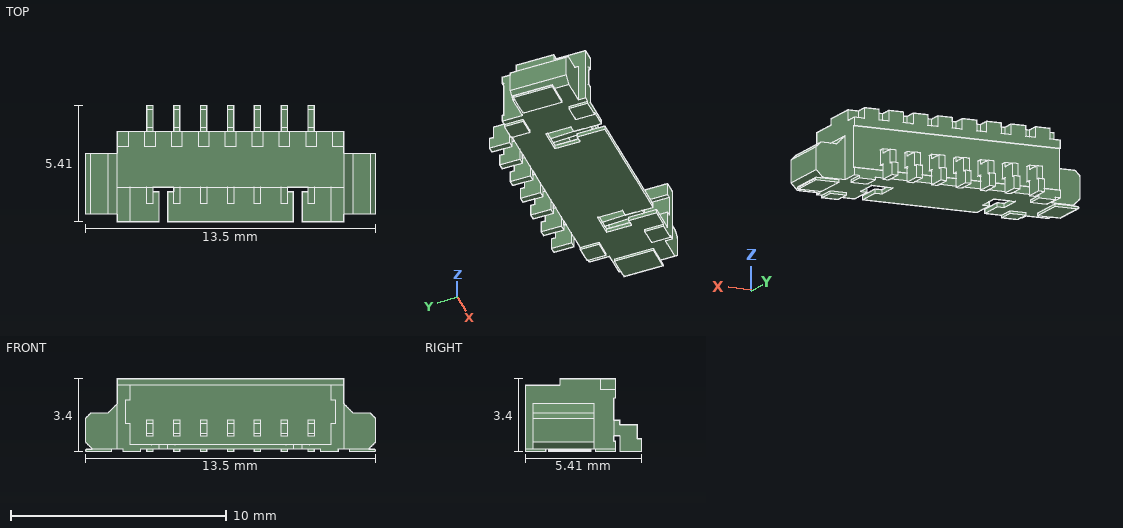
import cadquery as cq


pin_count = 7
pitch = 1.25
pin_width = 0.3
pin_top = 1.47
pin_bottom = 0.74
pin_tip_y = 0.85
pin_tip_top = 1.3
pin_tip_bottom = 0.85
pin_taper_start_y = 2.31
pin_shoulder_y = 4.39
pin_leg_top = 1.26
pin_heel_y = 5.21
pin_foot_top = 0.61
pin_end_y = 5.41
pin_positions = [(i - (pin_count - 1) / 2) * pitch for i in range(pin_count)]

standoff = 0.12
housing_width = 10.54
housing_depth = 4.2
housing_top = 3.4
wall_top = 3.1
roof_front_y = 1.6
floor_top = 0.33
cavity_width = 9.34
cavity_depth = 3.04

groove_span = 9.76
groove_bottom = 1.3
groove_top = 2.4

back_relief_depth = 0.08
back_relief_bottom = 0.49
back_relief_top = 2.49

notch_width = 0.5
notch_length = 0.7
notch_depth = 0.51
corner_notch_width = 0.53

slot_x = pin_positions[-1] - pitch / 2
slot_width = 0.4
slot_length = 1.4
slot_head_width = 1.1
slot_back_y = 2.66

foot_inner_x = 4.18
foot_outer_x = 5.01
foot_length = 0.95

ear_outer_x = 6.75
ear_top = 1.8
ear_front_y = 0.36
ear_back_y = 3.18
ear_top_chamfer = 0.25
ear_bottom_chamfer = 0.33
ear_ramp = 0.43

nail_inner_x = 5.53
nail_front_y = 1.08
nail_back_y = 3.04
nail_edge_chamfer = 0.05


def block(x_range, y_range, z_range):
    """Box between the given pairs of limits."""
    size = [high - low for low, high in (x_range, y_range, z_range)]
    corner = (x_range[0], y_range[0], z_range[0])
    return cq.Workplane("XY").box(*size, centered=False).translate(corner)


def centered_block(x_center, width, y_range, z_range):
    """Box of the given width about x_center."""
    return block((x_center - width / 2, x_center + width / 2), y_range, z_range)


def both_sides(right_half):
    """The given +X shape together with its mirror image on the -X side."""
    return [right_half, right_half.mirror("YZ")]


def make_pin(x_center):
    """Contact pin: tapered blade, stepped shoulder and solder foot."""
    profile = [
        (pin_tip_y, pin_tip_bottom),
        (pin_tip_y, pin_tip_top),
        (pin_taper_start_y, pin_top),
        (pin_shoulder_y, pin_top),
        (pin_shoulder_y, pin_leg_top),
        (pin_heel_y, pin_leg_top),
        (pin_heel_y, pin_foot_top),
        (pin_end_y, pin_foot_top),
        (pin_end_y, 0),
        (pin_shoulder_y, 0),
        (pin_shoulder_y, pin_bottom),
        (cavity_depth, pin_bottom),
    ]
    pin = cq.Workplane("YZ").polyline(profile).close().extrude(pin_width / 2, both=True)
    return pin.translate((x_center, 0, 0))


def make_shell():
    """Housing box with its set-back roof, front cavity and guide grooves."""
    shell = centered_block(0, housing_width, (0, housing_depth), (standoff, wall_top))
    roof = centered_block(0, housing_width, (roof_front_y, housing_depth), (wall_top, housing_top))
    cavity = centered_block(0, cavity_width, (0, cavity_depth), (floor_top, wall_top))
    grooves = centered_block(0, groove_span, (0, cavity_depth), (groove_bottom, groove_top))
    return shell.cut(cavity).union(roof).cut(grooves)


def cut_back(housing):
    """Relief across the back face and the notches along the rear top edge."""
    relief_y = (housing_depth - back_relief_depth, housing_depth)
    relief = centered_block(0, housing_width, relief_y, (back_relief_bottom, back_relief_top))
    housing = housing.cut(relief)

    notch_y = (housing_depth - notch_length, housing_depth)
    notch_z = (housing_top - notch_depth, housing_top)
    for x in pin_positions:
        housing = housing.cut(centered_block(x, notch_width, notch_y, notch_z))
    side_x = housing_width / 2
    for corner in both_sides(block((side_x - corner_notch_width, side_x), notch_y, notch_z)):
        housing = housing.cut(corner)
    return housing


def make_floor_slot():
    """T-shaped floor opening at the +X end."""
    floor_z = (standoff, floor_top)
    stem = centered_block(slot_x, slot_width, (0, slot_length), floor_z)
    head = centered_block(slot_x, slot_head_width, (slot_length, slot_back_y), floor_z)
    return stem.union(head)


def make_feet():
    """Front and rear standoff feet at the +X end."""
    foot_x = (foot_inner_x, foot_outer_x)
    front = block(foot_x, (0, foot_length), (0, standoff))
    rear = block(foot_x, (housing_depth - foot_length, housing_depth), (0, standoff))
    return front.union(rear)


def make_ear():
    """Chamfered ear on the +X side wall."""
    wall_x = housing_width / 2
    profile = [
        (wall_x, standoff),
        (ear_outer_x - ear_bottom_chamfer, standoff),
        (ear_outer_x, standoff + ear_bottom_chamfer),
        (ear_outer_x, ear_top - ear_top_chamfer),
        (ear_outer_x - ear_top_chamfer, ear_top),
        (wall_x + ear_ramp, ear_top),
        (wall_x, ear_top + ear_ramp),
    ]
    ear = cq.Workplane("XZ").polyline(profile).close().extrude(ear_front_y - ear_back_y)
    return ear.translate((0, ear_front_y, 0))


def make_nail():
    """Flat solder nail under the +X ear, with its outer edge chamfered above and below."""
    nail = block((nail_inner_x, ear_outer_x), (nail_front_y, nail_back_y), (0, standoff))
    return nail.faces(">X").edges("|Y").chamfer(nail_edge_chamfer)


pins = [make_pin(x) for x in pin_positions]
nails = both_sides(make_nail())

housing = cut_back(make_shell())
for slot in both_sides(make_floor_slot()):
    housing = housing.cut(slot)
for addition in both_sides(make_feet()) + both_sides(make_ear()):
    housing = housing.union(addition)
for pin in pins:
    housing = housing.cut(pin)

result = cq.Compound.makeCompound([body.val() for body in [housing, *pins, *nails]])